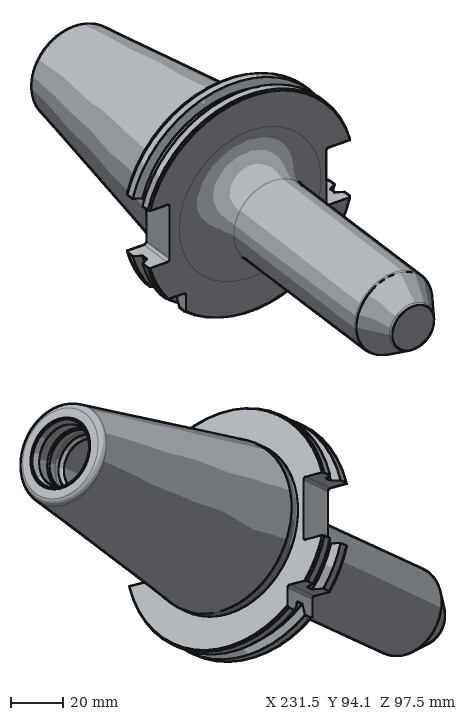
import cadquery as cq
import math


taper_length = 100.7
taper_large_radius = 35.0
taper_slope = 7 / 48
taper_small_radius = taper_large_radius - taper_slope * taper_length
small_end_rounding = 2.0

relief_depth = 0.2
relief_start = 102.1
relief_end = 103.5

flange_start = 105.0
flange_width = 15.7
flange_end = flange_start + flange_width
flange_diameter = 97.5
flange_radius = flange_diameter / 2
flange_chamfer_width = 1.0
flange_chamfer_height = 0.5

groove_center = flange_start + flange_width / 2
groove_bottom_radius = 45.6
groove_bottom_width = 3.0
groove_side_angle = 30

total_length = 231.5
shank_diameter = 36.0
shank_radius = shank_diameter / 2
shank_fillet = 15.0
tip_start = total_length - 13.7
tip_start_chamfer_length = 1.0
tip_start_chamfer_height = 0.2
tip_cone_end_radius = 10.5
tip_end_chamfer_length = 1.0
tip_end_radius = 9.7

slot_height = 25.7
shallow_slot_floor = 37.5
deep_slot_floor = 35.5
notch_y = 29.9
notch_z = 29.6
slot_corner_radius = 1.2

bore_mouth_radius = 14.4
mouth_edge_radius = 13.7
mouth_edge_depth = 0.2
pilot_radius = 12.5
pilot_start = 3.0
pilot_end = 8.0
neck_radius = 12.0
neck_start = 9.0
neck_end = 12.5
thread_lead_in_radius = 11.8
thread_lead_in_start = 14.4
thread_radius = 10.5
thread_start = 16.0
bore_depth = 41.7
drill_half_angle = 59
drill_tip = bore_depth + thread_radius / math.tan(math.radians(drill_half_angle))

ROUNDING_MIDPOINT = 1 - math.sqrt(0.5)


def revolve_about_x(profile):
    return profile.close().revolve(360, (0, 0, 0), (1, 0, 0))


def make_body():
    end_inset = small_end_rounding * ROUNDING_MIDPOINT
    fillet_inset = shank_fillet * ROUNDING_MIDPOINT
    relief_radius = taper_large_radius - relief_depth
    flange_face_radius = flange_radius - flange_chamfer_height
    groove_flare = (flange_radius - groove_bottom_radius) * math.tan(math.radians(groove_side_angle))
    groove_half_bottom = groove_bottom_width / 2
    groove_half_top = groove_half_bottom + groove_flare

    profile = (
        cq.Workplane("XY")
        .lineTo(0, taper_small_radius - small_end_rounding)
        .threePointArc(
            (end_inset, taper_small_radius - end_inset),
            (small_end_rounding, taper_small_radius + taper_slope * small_end_rounding),
        )
        .lineTo(taper_length, taper_large_radius)
        .lineTo(relief_start, relief_radius)
        .lineTo(relief_end, relief_radius)
        .lineTo(flange_start, taper_large_radius)
        .lineTo(flange_start, flange_face_radius)
        .lineTo(flange_start + flange_chamfer_width, flange_radius)
        .lineTo(groove_center - groove_half_top, flange_radius)
        .lineTo(groove_center - groove_half_bottom, groove_bottom_radius)
        .lineTo(groove_center + groove_half_bottom, groove_bottom_radius)
        .lineTo(groove_center + groove_half_top, flange_radius)
        .lineTo(flange_end - flange_chamfer_width, flange_radius)
        .lineTo(flange_end, flange_face_radius)
        .lineTo(flange_end, shank_radius + shank_fillet)
        .threePointArc(
            (flange_end + fillet_inset, shank_radius + fillet_inset),
            (flange_end + shank_fillet, shank_radius),
        )
        .lineTo(tip_start, shank_radius)
        .lineTo(tip_start + tip_start_chamfer_length, shank_radius - tip_start_chamfer_height)
        .lineTo(total_length - tip_end_chamfer_length, tip_cone_end_radius)
        .lineTo(total_length, tip_end_radius)
        .lineTo(total_length, 0)
    )
    return revolve_about_x(profile)


def make_bore():
    profile = cq.Workplane("XY").polyline([
        (0, 0),
        (0, bore_mouth_radius),
        (mouth_edge_depth, mouth_edge_radius),
        (pilot_start, pilot_radius),
        (pilot_end, pilot_radius),
        (neck_start, neck_radius),
        (neck_end, neck_radius),
        (thread_lead_in_start, thread_lead_in_radius),
        (thread_start, thread_radius),
        (bore_depth, thread_radius),
        (drill_tip, 0),
    ])
    return revolve_about_x(profile)


def flange_cut(y_min, y_max, z_min, z_max, inner_edges):
    """Block across the flange width, rounded along its edges inside the flange."""
    return (
        cq.Workplane("XY", origin=(flange_start, y_min, z_min))
        .box(flange_width, y_max - y_min, z_max - z_min, centered=False)
        .edges(inner_edges)
        .fillet(slot_corner_radius)
    )


def make_flange_cuts():
    half_slot = slot_height / 2
    deep_slot = flange_cut(deep_slot_floor, flange_radius, -half_slot, half_slot, "|X and <Y")
    shallow_slot = flange_cut(-flange_radius, -shallow_slot_floor, -half_slot, half_slot, "|X and >Y")
    notch = flange_cut(-flange_radius, -notch_y, -flange_radius, -notch_z, "|X and >Y and >Z")
    return deep_slot.union(shallow_slot).union(notch)


result = make_body().cut(make_bore()).cut(make_flange_cuts())